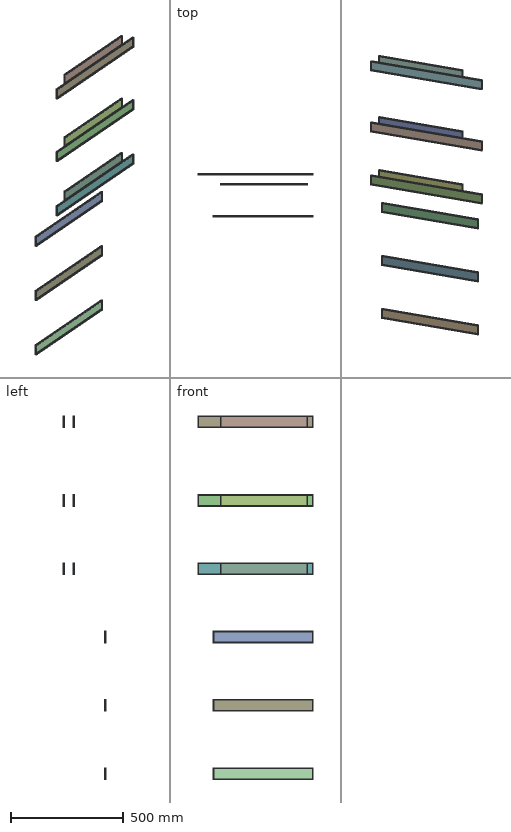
import cadquery as cq

total_length = 511.0
total_depth = 191.0
total_height = 1617.0

slat_height = 50.0
slat_thickness = 5.0

back_length = total_length
middle_length = 385.0
front_length = 443.0

middle_left = 102.0
front_left = total_length - front_length
front_y = 0.0
middle_y = 140.0
back_y = total_depth - slat_thickness

level_pitch = 304.0
front_levels = [i * level_pitch for i in range(3)]
top_level = total_height - slat_height
upper_levels = [3 * level_pitch, 4 * level_pitch, top_level]


def make_slat(length, left, y, level):
    """Flat rectangular slat running along X, standing on its long edge."""
    slat = cq.Workplane("XY").box(length, slat_thickness, slat_height, centered=False)
    return slat.translate((left, y, level)).val()


front_slats = [make_slat(front_length, front_left, front_y, z) for z in front_levels]

middle_slats = [make_slat(middle_length, middle_left, middle_y, z) for z in upper_levels]
back_slats = [make_slat(back_length, 0, back_y, z) for z in upper_levels]

result = cq.Compound.makeCompound([*front_slats, *middle_slats, *back_slats])